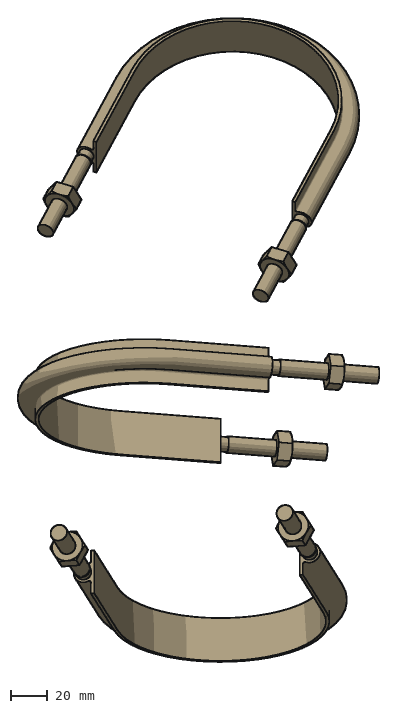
import cadquery as cq
import math

total_length = 184.2
total_width = 145.5

nut_across_flats = 17.0
nut_thickness = 8.0
nut_start = 20.3
nut_chamfer_angle = 25.0
nut_across_corners = nut_across_flats / math.cos(math.radians(30))

thread_diameter = 9.2
rod_diameter = 8.3
thread_length = 54.9
leg_offset = (total_width - nut_across_corners) / 2

sleeve_start = 59.7
cover_radius = 5.7
strip_height = 25.0
strip_thickness = 1.8
root_fillet = 1.1
bend_center = total_length - leg_offset - cover_radius
strip_inner = leg_offset - cover_radius
strip_outer = strip_inner + strip_thickness


def u_path(start):
    """Centre line of the rod, with both legs beginning at Y = start."""
    return (
        cq.Workplane("XY")
        .moveTo(-leg_offset, start)
        .lineTo(-leg_offset, bend_center)
        .threePointArc((0, bend_center + leg_offset), (leg_offset, bend_center))
        .lineTo(leg_offset, start)
    )


def round_u(diameter, start):
    """Round bar swept along the U."""
    section = cq.Workplane("XZ", origin=(-leg_offset, start, 0)).circle(diameter / 2)
    return section.sweep(u_path(start))


def leg_cylinder(x, diameter, length):
    """Cylinder on a leg axis, from the leg end towards the bend."""
    return cq.Workplane("XZ", origin=(x, 0, 0)).circle(diameter / 2).extrude(-length)


def make_u_bolt():
    bolt = round_u(rod_diameter, thread_length)
    for x in (-leg_offset, leg_offset):
        bolt = bolt.union(leg_cylinder(x, thread_diameter, thread_length))
    return bolt


def make_sleeve():
    face = leg_offset - strip_outer
    inner = leg_offset - strip_inner
    fillet_u = face - root_fillet
    fillet_v = math.sqrt((cover_radius + root_fillet) ** 2 - fillet_u**2)
    tangent_scale = cover_radius / (cover_radius + root_fillet)
    tangent_u = fillet_u * tangent_scale
    tangent_v = fillet_v * tangent_scale
    middle_angle = math.atan2(-fillet_v, -fillet_u) / 2
    middle_u = fillet_u + root_fillet * math.cos(middle_angle)
    middle_v = fillet_v + root_fillet * math.sin(middle_angle)
    half_height = strip_height / 2
    section = (
        cq.Workplane("XZ", origin=(-leg_offset, sleeve_start, 0))
        .moveTo(inner, -half_height)
        .lineTo(inner, half_height)
        .lineTo(face, half_height)
        .lineTo(face, fillet_v)
        .threePointArc((middle_u, middle_v), (tangent_u, tangent_v))
        .threePointArc((-cover_radius, 0), (tangent_u, -tangent_v))
        .threePointArc((middle_u, -middle_v), (face, -fillet_v))
        .lineTo(face, -half_height)
        .close()
    )
    return section.sweep(u_path(sleeve_start)).cut(round_u(rod_diameter, sleeve_start))


def make_nut(x):
    """Hexagon nut with corners pointing along X and chamfered on the face towards the leg end."""
    nut = (
        cq.Workplane("XZ", origin=(x, nut_start, 0))
        .polygon(6, nut_across_corners)
        .extrude(-nut_thickness)
    )
    flat_radius = nut_across_flats / 2
    corner_radius = nut_across_corners / 2
    chamfer_depth = (corner_radius - flat_radius) * math.tan(math.radians(nut_chamfer_angle))
    envelope = (
        cq.Workplane("XY", origin=(x, nut_start, 0))
        .polyline([
            (0, 0),
            (flat_radius, 0),
            (corner_radius, chamfer_depth),
            (corner_radius, nut_thickness),
            (0, nut_thickness),
        ])
        .close()
        .revolve(360, (0, 0), (0, 1))
    )
    return nut.intersect(envelope).cut(leg_cylinder(x, thread_diameter, thread_length))


u_bolt = make_u_bolt()
sleeve = make_sleeve()
nuts = [make_nut(x) for x in (-leg_offset, leg_offset)]

result = cq.Compound.makeCompound([u_bolt.val(), sleeve.val(), *[nut.val() for nut in nuts]])